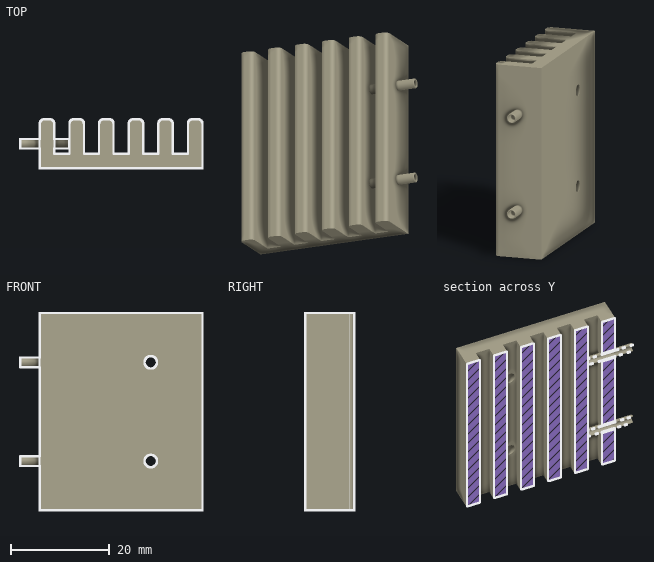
import cadquery as cq

height = 40.0
fin_count = 6
fin_thickness = 3.0
fin_pitch = 6.0
fin_tip_radius = 1.0
base_thickness = 3.0
depth = 10.0
width = (fin_count - 1) * fin_pitch + fin_thickness
slot_width = fin_pitch - fin_thickness
slot_depth = depth - base_thickness

pin_diameter = 2.0
pin_bore_diameter = 1.4
pin_end_chamfer = 0.1
pin_overhang = 4.0
pin_end_x = fin_pitch
pin_length = pin_overhang + pin_end_x
pin_y = depth / 2

mount_hole_diameter = 2.5
mount_slot_index = 3
mount_hole_x = mount_slot_index * fin_pitch + fin_thickness + slot_width / 2

feature_heights = [height / 4, height * 3 / 4]


def x_cylinder(diameter, start_x, length, z):
    """Cylinder along +X on the pin axis at height z."""
    return (
        cq.Workplane("YZ", origin=(start_x, pin_y, z))
        .circle(diameter / 2)
        .extrude(length)
    )


def make_heat_sink():
    """Base plate with upright fins, pin holes and mounting holes."""
    body = cq.Workplane("XY").box(width, depth, height, centered=False)

    for i in range(fin_count - 1):
        slot_x = i * fin_pitch + fin_thickness
        slot = (
            cq.Workplane("XY", origin=(slot_x, base_thickness, 0))
            .box(slot_width, slot_depth, height, centered=False)
        )
        body = body.cut(slot)

    body = body.faces(">Y").edges("|Z").fillet(fin_tip_radius)

    for z in feature_heights:
        body = body.cut(x_cylinder(pin_diameter, 0, fin_thickness, z))
        mount_hole = (
            cq.Workplane("XZ", origin=(mount_hole_x, 0, z))
            .circle(mount_hole_diameter / 2)
            .extrude(-base_thickness)
        )
        body = body.cut(mount_hole)
    return body


def make_pin(z):
    """Hollow pin sticking out of the first fin at height z."""
    outside = x_cylinder(pin_diameter, -pin_overhang, pin_length, z)
    bore = x_cylinder(pin_bore_diameter, -pin_overhang, pin_length, z)
    tube = outside.cut(bore)

    return tube.faces("<X or >X").chamfer(pin_end_chamfer)


heat_sink = make_heat_sink()
pins = [make_pin(z) for z in feature_heights]

result = cq.Compound.makeCompound([heat_sink.val(), *[pin.val() for pin in pins]])